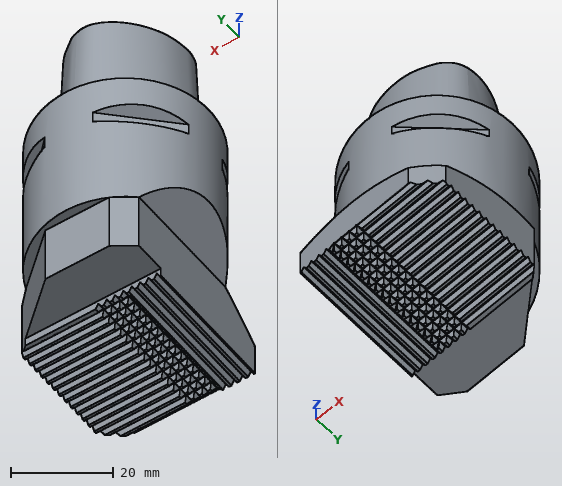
import cadquery as cq
import math

total_length = 74.0
total_width = 41.0
total_depth = 44.7

body_diameter = 40.0
body_radius = body_diameter / 2
head_height = 16.0
shoulder_height = 50.0

shank_base_width = 27.9
shank_top_width = 26.05
lobe_offset = 0.9
lobe_half_angle = 17.0
lobe_count = 3
first_lobe_direction = 90.0
points_per_face = 7

slot_count = 4
slot_height = 39.95
slot_floor_distance = 17.6
slot_floor_width = 2.6
slot_wall_angle = 30.0
first_slot_direction = 45.0

flat_angle = 40.0

head_left = -13.6
head_right = total_width - body_radius
head_front = body_radius - total_depth
head_back = 18.0
head_turned_radius = 29.0
right_side_back = 5.3
back_right_corner_angle = 41.0
cone_angle = 45.0
step_height = 2.0
step_start = 7.25

tooth_pitch = 2.0
groove_depth = 1.2
groove_angle = 60.0
groove_half_width = groove_depth * math.tan(math.radians(groove_angle / 2))
side_groove_count = 8
side_groove_inset = 0.95
front_groove_count = 16
front_groove_inset = 0.2
front_groove_start = -5.9


def shank_point(width, degrees):
    """Point of the lobed outline whose outward normal lies at the given angle."""
    normal = math.radians(degrees)
    lobe_phase = lobe_count * (normal - math.radians(first_lobe_direction))
    reach = width / 2 + lobe_offset * math.cos(lobe_phase)
    slide = -lobe_count * lobe_offset * math.sin(lobe_phase)
    x = reach * math.cos(normal) - slide * math.sin(normal)
    y = reach * math.sin(normal) + slide * math.cos(normal)
    return x, y


def shank_edge(width, height, start, end):
    """One face edge of the lobed outline, between two normal angles."""
    step = (end - start) / (points_per_face - 1)
    points = [cq.Vector(*shank_point(width, start + i * step), height) for i in range(points_per_face)]
    tangents = [
        cq.Vector(-math.sin(math.radians(angle)), math.cos(math.radians(angle)), 0)
        for angle in (start, end)
    ]
    return cq.Edge.makeSpline(points, tangents=tangents)


def shank_outline(width, height):
    """Closed lobed outline: a rounded lobe and a flatter flank, three times."""
    lobe_spacing = 360 / lobe_count
    edges = []
    for i in range(lobe_count):
        lobe = first_lobe_direction + i * lobe_spacing
        lobe_start = lobe - lobe_half_angle
        lobe_end = lobe + lobe_half_angle
        edges.append(shank_edge(width, height, lobe_start, lobe_end))
        edges.append(shank_edge(width, height, lobe_end, lobe_start + lobe_spacing))
    return cq.Wire.assembleEdges(edges)


def make_shank():
    """Tapered shank between its base and top outlines."""
    base = shank_outline(shank_base_width, shoulder_height)
    top = shank_outline(shank_top_width, total_length)
    return cq.Workplane(obj=cq.Solid.makeLoft([base, top], True))


def slot_cutter(angle):
    """Straight slot with a flat floor and flaring walls, facing the given direction."""
    depth = body_radius - slot_floor_distance
    floor_half = slot_floor_width / 2
    mouth_half = floor_half + depth * math.tan(math.radians(slot_wall_angle))
    return (
        cq.Workplane("XZ")
        .polyline([
            (slot_floor_distance, slot_height - floor_half),
            (body_radius, slot_height - mouth_half),
            (body_radius, slot_height + mouth_half),
            (slot_floor_distance, slot_height + floor_half),
        ])
        .close()
        .extrude(body_radius, both=True)
        .rotate((0, 0, 0), (0, 0, 1), angle)
    )


def flat_cutter():
    """Wedge under the slanted flat on the left of the round body."""
    flat_width = body_radius + head_left
    flat_height = flat_width / math.tan(math.radians(flat_angle))
    return (
        cq.Workplane("XZ")
        .polyline([
            (head_left, head_height),
            (-body_radius, head_height + flat_height),
            (-body_radius, head_height),
        ])
        .close()
        .extrude(body_radius, both=True)
    )


def make_holder():
    """Round body with its slots, slanted flat and shank."""
    body = (
        cq.Workplane("XY")
        .workplane(offset=head_height)
        .circle(body_radius)
        .extrude(shoulder_height - head_height)
    )
    for i in range(slot_count):
        body = body.cut(slot_cutter(first_slot_direction + i * 360 / slot_count))
    return body.cut(flat_cutter()).union(make_shank())


def head_block():
    """Block whose back-left corner follows a chord of the round body."""
    corner_y = math.sqrt(body_radius**2 - head_left**2)
    corner_x = -math.sqrt(body_radius**2 - head_back**2)
    slant_run = (head_back - right_side_back) / math.tan(math.radians(back_right_corner_angle))
    return (
        cq.Workplane("XY")
        .polyline([
            (head_left, head_front),
            (head_right, head_front),
            (head_right, right_side_back),
            (head_right - slant_run, head_back),
            (corner_x, head_back),
            (head_left, corner_y),
        ])
        .close()
        .extrude(head_height)
    )


def head_envelope():
    """Turned outline of the head: a cylinder under a cone that meets the round body."""
    cone_height = (head_turned_radius - body_radius) / math.tan(math.radians(cone_angle))
    return (
        cq.Workplane("XZ")
        .polyline([
            (0, 0),
            (head_turned_radius, 0),
            (head_turned_radius, head_height - cone_height),
            (body_radius, head_height),
            (0, head_height),
        ])
        .close()
        .revolve(360, (0, 0, 0), (0, 1, 0))
    )


def back_step():
    """Space under the raised back part of the head."""
    return (
        cq.Workplane("XY")
        .box(2 * total_width, total_depth, step_height, centered=(True, False, False))
        .translate((0, step_start, 0))
    )


def groove_outline(plane, position):
    """V outline that is open at Z = 0."""
    return (
        cq.Workplane(plane)
        .polyline([
            (position - groove_half_width, 0),
            (position, groove_depth),
            (position + groove_half_width, 0),
        ])
        .close()
    )


def side_groove(index):
    """Groove along Y, counted from the left side."""
    position = head_left + side_groove_inset + index * tooth_pitch
    return groove_outline("XZ", position).extrude(total_depth, both=True)


def front_groove(index):
    """Groove along X, counted from the front, with a 45 degree run-out at its left end."""
    position = head_front + front_groove_inset + index * tooth_pitch
    run_out = (
        cq.Workplane("XZ")
        .polyline([
            (front_groove_start, 0),
            (front_groove_start + groove_depth, groove_depth),
            (head_right, groove_depth),
            (head_right, 0),
        ])
        .close()
        .extrude(total_depth, both=True)
    )
    return groove_outline("YZ", position).extrude(total_width, both=True).intersect(run_out)


def make_head():
    """Trimmed block with two crossing rows of grooves underneath."""
    head = head_block().intersect(head_envelope()).cut(back_step())
    for i in range(side_groove_count):
        head = head.cut(side_groove(i))
    for i in range(front_groove_count):
        head = head.cut(front_groove(i))
    return head


holder = make_holder()
head = make_head()

result = cq.Compound.makeCompound([holder.solids().val(), head.solids().val()])